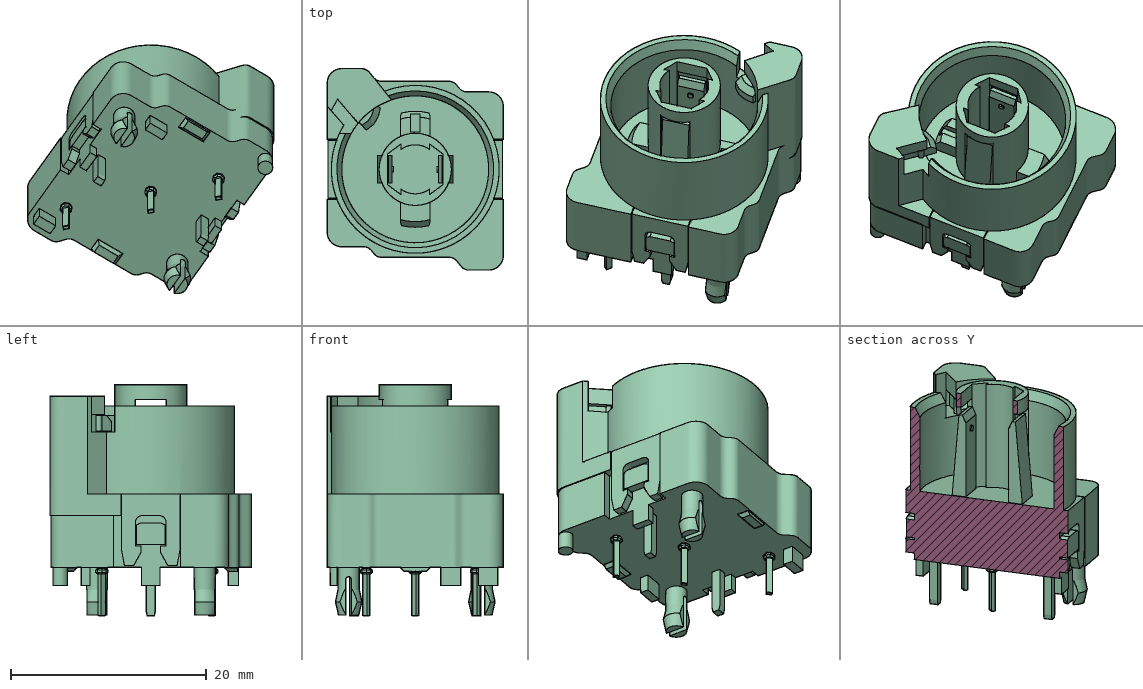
import cadquery as cq

BODY_TOP = 7.5
BARREL_TOP = 16.5
TOWER_TOP = 17.5
POST_TOP = 18.66
PIN_BOTTOM = -4.96
PEG_BOTTOM = -4.87
STANDOFF_BOTTOM = -1.85
CORNER_STEP_Z = 5.29

HALF_X = 9.0
FLANK_Y = 9.0
LONG_EAR_Y = 10.3
SHORT_EAR_Y = 7.92
EAR_RADIUS = 1.5
BLEND_RADIUS = 1.0
EAR_SLOPE = 1.25
LONG_RAMP_X = 3.95
SHORT_RAMP_X = 3.92
CORNER_SETBACK = 0.1

BARREL_OUTER_R = 8.57
BORE_R = 15.0 / 2
BORE_CHAMFER_WIDTH = 0.5
BORE_CHAMFER_HEIGHT = 1.0
POST_R = 7.37 / 2
POST_BORE_R = 2.5
POST_CAVITY_HALF_X = 2.83
POST_CAVITY_FLAT_HALF_Y = 1.57
POST_TOOTH_HALF_X = 1.47
POST_TOOTH_ROOT_Y = 2.58
WINDOW_HALF_Y = 1.57
WINDOW_TOP = 17.13

POCKET_FLOOR = 13.85
POCKET_ROOF = 15.61
POCKET_SIDE_Y = 3.66
POCKET_LIP = (-8.56, 6.04)
POCKET_CORNER = (-7.93, 7.16)
POCKET_INNER = (-5.83, 4.68)
LATCH_GAP = 0.1
LATCH_TIP = (-5.0, 4.0)

FLOOR_BLOCK_TOP = 9.5
FLOOR_BLOCK_OUTER_R = 5.92
FLOOR_BLOCK_HALF_X = 1.49

SNAP_PEG_PLACES = [(-6.8, -5.5), (6.8, 5.5)]
SOLDER_PIN_PLACES = [(-5.0, 5.0), (0, 0), (6.25, -6.25)]
ROUND_FOOT_PLACE = (-7.95, 9.25)
ROUND_FOOT_DIAMETER = 1.51

PANEL_HALF_Y = 2.98
PANEL_GAP = 0.08
PANEL_FACE_X = 8.93
RECESS_X = 8.0
CORNER_NOTCH_Y = 3.82

ramp_long_outer_x = LONG_RAMP_X + (LONG_EAR_Y - FLANK_Y) / EAR_SLOPE
ramp_short_outer_x = SHORT_RAMP_X + (FLANK_Y - SHORT_EAR_Y) / EAR_SLOPE


def box(x0, x1, y0, y1, z0, z1):
    """Axis-aligned block between two corners."""
    return cq.Workplane("XY").box(x1 - x0, y1 - y0, z1 - z0, centered=False).translate((x0, y0, z0))


def prism(points, z0, z1):
    """Vertical prism over a plan polygon."""
    return cq.Workplane("XY").workplane(offset=z0).polyline(points).close().extrude(z1 - z0)


def cylinder(x, y, radius, z0, z1):
    """Upright cylinder at plan position (x, y)."""
    return cq.Workplane("XY").workplane(offset=z0).center(x, y).circle(radius).extrude(z1 - z0)


def round_upright(solid, x, y, radius):
    """Fillet the vertical edge that stands at plan position (x, y)."""
    tol = 0.02
    column = cq.selectors.BoxSelector((x - tol, y - tol, PIN_BOTTOM), (x + tol, y + tol, POST_TOP))
    return solid.edges("|Z").edges(column).fillet(radius)


def half_turn(solid):
    """Copy turned by 180 degrees about the barrel axis."""
    return solid.rotate((0, 0, 0), (0, 0, 1), 180)


def body_slab(z0, z1, setback):
    """One layer of the body; setback pulls in the tower corner only."""
    tower_x = -HALF_X + setback
    tower_y = LONG_EAR_Y - setback
    tower_ramp_x = -LONG_RAMP_X - (tower_y - FLANK_Y) / EAR_SLOPE
    ears = [(tower_x, tower_y), (HALF_X, SHORT_EAR_Y), (HALF_X, -LONG_EAR_Y), (-HALF_X, -SHORT_EAR_Y)]
    blends = [
        (tower_ramp_x, tower_y), (-LONG_RAMP_X, FLANK_Y),
        (SHORT_RAMP_X, FLANK_Y), (ramp_short_outer_x, SHORT_EAR_Y),
        (ramp_long_outer_x, -LONG_EAR_Y), (LONG_RAMP_X, -FLANK_Y),
        (-SHORT_RAMP_X, -FLANK_Y), (-ramp_short_outer_x, -SHORT_EAR_Y),
    ]
    outline = [ears[0]] + blends[:4] + ears[1:3] + blends[4:] + [ears[3]]
    if setback:
        outline += [(-HALF_X, CORNER_NOTCH_Y), (tower_x, CORNER_NOTCH_Y)]
    slab = prism(outline, z0, z1)
    for x, y in ears:
        slab = round_upright(slab, x, y, EAR_RADIUS)
    for x, y in blends:
        slab = round_upright(slab, x, y, BLEND_RADIUS)
    return slab


def side_recess():
    """Recess in the -X side that holds the panel."""
    half_y = PANEL_HALF_Y + PANEL_GAP
    return box(-HALF_X, -RECESS_X, -half_y, half_y, 0, BODY_TOP)


def corner_notch():
    """Gap between the panel and the set-back tower corner."""
    return box(-HALF_X, -RECESS_X, PANEL_HALF_Y, CORNER_NOTCH_Y, 0, CORNER_STEP_Z)


def side_panel():
    """Panel in the -X side with its skirts, arched window and latch block."""
    skirt_bottom = 0.19
    sill_z = 2.18
    throat_half_y = 1.02
    arch_radius = 0.7
    half = [
        (PANEL_HALF_Y, BODY_TOP), (PANEL_HALF_Y, 1.76), (2.69, skirt_bottom), (1.74, skirt_bottom),
        (throat_half_y, 1.5), (throat_half_y, sill_z),
    ]
    outline = half + [(-y, z) for y, z in reversed(half)]
    depth = PANEL_FACE_X - RECESS_X
    plane = cq.Workplane("YZ", origin=(-PANEL_FACE_X, 0, 0))
    panel = plane.polyline(outline).close().extrude(depth)
    window = box(-PANEL_FACE_X, -RECESS_X, -WINDOW_HALF_Y, WINDOW_HALF_Y, sill_z, CORNER_STEP_Z)
    window = window.edges("|X and >Z").fillet(arch_radius)

    block_half_y = 1.47
    block_bottom = 2.33
    block_top = 4.52
    block_setback = 0.05
    block_face_x = PANEL_FACE_X - block_setback
    block = box(-block_face_x, -RECESS_X, -block_half_y, block_half_y, block_bottom, block_top)
    block = block.edges("|X and >Z").chamfer(0.2, 0.4)
    return panel.cut(window).union(block)


def barrel():
    """Round wall with a chamfered mouth."""
    mouth_r = BORE_R + BORE_CHAMFER_WIDTH
    profile = [
        (BORE_R, BODY_TOP), (BARREL_OUTER_R, BODY_TOP), (BARREL_OUTER_R, BARREL_TOP),
        (mouth_r, BARREL_TOP), (BORE_R, BARREL_TOP - BORE_CHAMFER_HEIGHT),
    ]
    return cq.Workplane("XZ").polyline(profile).close().revolve(360, (0, 0, 0), (0, 1, 0))


def tower():
    """Tall corner block that joins the outside of the barrel."""
    outer_y = LONG_EAR_Y
    ramp_end_x = -1.9
    ramp_end = (ramp_end_x, outer_y - EAR_SLOPE * (ramp_long_outer_x + ramp_end_x))
    outline = [
        (-HALF_X, outer_y), (-ramp_long_outer_x, outer_y), ramp_end,
        (-6.0, 4.0), (-7.3, 4.51), (-HALF_X, 6.46),
    ]
    block = prism(outline, BODY_TOP, TOWER_TOP)
    block = round_upright(block, -HALF_X, outer_y, EAR_RADIUS)
    block = round_upright(block, -ramp_long_outer_x, outer_y, BLEND_RADIUS)
    return block.cut(cylinder(0, 0, BORE_R, BODY_TOP, TOWER_TOP))


def tower_pocket():
    """Open pocket through tower and barrel wall, undercut below its roof."""
    inside = (-4.9, POCKET_SIDE_Y)
    open_x = -HALF_X
    outline = [
        POCKET_LIP, POCKET_CORNER, POCKET_INNER, inside,
        (open_x, POCKET_SIDE_Y), (open_x, POCKET_LIP[1]),
    ]
    undercut_x = 0.3
    undercut_y = undercut_x / EAR_SLOPE
    undercut = [
        POCKET_CORNER, POCKET_INNER,
        (POCKET_INNER[0] + undercut_x, POCKET_INNER[1] + undercut_y),
        (POCKET_CORNER[0] + undercut_x, POCKET_CORNER[1] + undercut_y),
    ]
    upper = prism(outline, POCKET_FLOOR, TOWER_TOP)
    return upper.union(prism(undercut, POCKET_FLOOR, POCKET_ROOF))


def latch_nose():
    """Latch that reaches from the tower through the bore wall, bevelled on top."""
    bevel = 0.65
    bottom = POCKET_FLOOR + LATCH_GAP
    height = POCKET_ROOF - LATCH_GAP - bottom
    front_corner = (-4.28, 4.56)
    nose = (
        cq.Workplane("XY").workplane(offset=bottom)
        .moveTo(-6.0, 5.1).lineTo(*LATCH_TIP).lineTo(*front_corner)
        .threePointArc((-3.82, 5.35), (-3.57, 6.25))
        .lineTo(-4.4, 7.0).close().extrude(height)
    )
    front_edges = cq.selectors.BoxSelector((-5.0, LATCH_TIP[1], bottom + 1), (-3.5, 6.0, POCKET_ROOF))
    nose = nose.edges(front_edges).chamfer(bevel)
    heel = cylinder(-5.95, 5.3, 0.3, bottom, bottom + height)
    return nose.union(heel)


def centre_post():
    """Hollow post with a toothed cavity and two opposite contact windows."""
    post = cylinder(0, 0, POST_R, BODY_TOP, POST_TOP)
    cavity = cylinder(0, 0, POST_BORE_R, BODY_TOP, POST_TOP)
    upper_wing = [
        (POST_TOOTH_HALF_X, 0), (POST_TOOTH_HALF_X, POST_TOOTH_ROOT_Y),
        (POST_CAVITY_HALF_X, POST_CAVITY_FLAT_HALF_Y),
    ]
    lower_wing = [(x, -y) for x, y in reversed(upper_wing[1:])]
    wing = prism(upper_wing + lower_wing, BODY_TOP, POST_TOP)
    cavity = cavity.union(wing).union(half_turn(wing))
    window = box(-POST_R, POST_R, -WINDOW_HALF_Y, WINDOW_HALF_Y, BODY_TOP, WINDOW_TOP)
    return post.cut(cavity).cut(window)


def spring_contact():
    """Contact in the -X window of the post, with a round bump on its inner face."""
    half_width = 1.4
    top_z = 16.3
    inner_x = -2.35
    lead_in_height = 0.8
    profile = [
        (-3.85, BODY_TOP), (-3.1, top_z), (-2.73, top_z),
        (inner_x, top_z - lead_in_height), (inner_x, BODY_TOP),
    ]
    blade = cq.Workplane("XZ", origin=(0, half_width, 0)).polyline(profile).close()
    blade = blade.extrude(2 * half_width)
    bump_r = 0.3
    bump_height = 0.15
    bump_z = 14.5
    bump = cq.Workplane("YZ", origin=(inner_x, 0, bump_z)).circle(bump_r).extrude(bump_height)
    return blade.union(bump)


def floor_block():
    """Raised block on the bore floor, on the +Y side of the post."""
    bevel_width = 0.57
    bevel_height = 1.0
    root_overlap = 0.3
    corner_r = 0.5
    inner_r = POST_R - root_overlap
    profile = [
        (inner_r, BODY_TOP), (FLOOR_BLOCK_OUTER_R, BODY_TOP),
        (FLOOR_BLOCK_OUTER_R, FLOOR_BLOCK_TOP - bevel_height),
        (FLOOR_BLOCK_OUTER_R - bevel_width, FLOOR_BLOCK_TOP), (inner_r, FLOOR_BLOCK_TOP),
    ]
    ring = cq.Workplane("XZ").polyline(profile).close().revolve(360, (0, 0, 0), (0, 1, 0))
    half_x = FLOOR_BLOCK_HALF_X
    block = box(-half_x, half_x, inner_r, FLOOR_BLOCK_OUTER_R, BODY_TOP, FLOOR_BLOCK_TOP)
    return ring.intersect(block.edges("|Z and >Y").fillet(corner_r))


def floor_block_slot():
    """Slot in the top of the +Y floor block."""
    half_x = 0.47
    depth = 0.8
    return box(-half_x, half_x, 3.83, 5.67, FLOOR_BLOCK_TOP - depth, FLOOR_BLOCK_TOP)


def snap_peg(x, y):
    """Split locating peg with a swollen, flat-sided tip."""
    shaft_r = 2.2 / 2
    swell_top = -2.27
    profile = [
        (0, 0), (shaft_r, 0), (shaft_r, swell_top), (1.36, -3.52), (1.05, PEG_BOTTOM), (0, PEG_BOTTOM),
    ]
    peg = cq.Workplane("XZ").polyline(profile).close().revolve(360, (0, 0, 0), (0, 1, 0))
    flat_y = 1.03
    reach = 2.0
    side_flat = box(-reach, reach, flat_y, reach, PEG_BOTTOM, swell_top)
    peg = peg.cut(side_flat).cut(half_turn(side_flat))
    slot_r = 0.28
    slot_arc_z = -1.25
    peg = peg.cut(box(-slot_r, slot_r, -reach, reach, PEG_BOTTOM, slot_arc_z))
    slot_end = cq.Workplane("XZ", origin=(0, reach, slot_arc_z)).circle(slot_r).extrude(2 * reach)
    return peg.cut(slot_end).translate((x, y, 0))


def solder_pin(x, y):
    """Flat signal pin set at 45 degrees, with a bevelled eight-sided collar."""
    width = 0.62
    thickness = 0.42
    tip_bevel = 0.06
    pin = box(-width / 2, width / 2, -thickness / 2, thickness / 2, PIN_BOTTOM, 0)
    pin = pin.faces("<Z").chamfer(tip_bevel).rotate((0, 0, 0), (0, 0, 1), -45)
    collar_diameter = 1.25
    collar_bevel = 0.17
    collar_top = -0.12
    collar_bottom = -0.68
    collar = cq.Workplane("XY").workplane(offset=collar_bottom).polygon(8, collar_diameter)
    collar = collar.extrude(collar_top - collar_bottom).faces("<Z or >Z").chamfer(collar_bevel)
    return pin.union(collar).translate((x, y, 0))


def ground_pin():
    """Wide plate and tapered solder leg on the -X side."""
    plate_half_y = 0.97
    plate_thickness = 0.8
    plate_back_x = -RECESS_X + plate_thickness
    plate = box(-RECESS_X, plate_back_x, -plate_half_y, plate_half_y, STANDOFF_BOTTOM, 0)
    leg_face_x = -6.7
    leg_thickness = 0.88
    half_y = 0.48
    tip_half_y = 0.36
    taper_z = -4.45
    outline = [
        (-half_y, 0), (half_y, 0), (half_y, taper_z), (tip_half_y, PIN_BOTTOM),
        (-tip_half_y, PIN_BOTTOM), (-half_y, taper_z),
    ]
    leg = cq.Workplane("YZ", origin=(leg_face_x, 0, 0)).polyline(outline).close().extrude(leg_thickness)
    return plate.union(leg)


def foot_pad():
    """Low pad under the +Y edge of the body, bevelled on three sides."""
    thickness = 0.4
    half_x = 1.5
    bevel = 0.35
    pad = box(-half_x, half_x, 7.55, 8.85, -thickness, 0)
    return pad.edges("<Z and (not >Y)").chamfer(bevel)


def standing_feet():
    """Round foot below the tower corner and two square-cornered feet."""
    round_foot = cylinder(*ROUND_FOOT_PLACE, ROUND_FOOT_DIAMETER / 2, STANDOFF_BOTTOM, 0)
    front_foot = box(6.44, 8.44, -8.96, -7.9, STANDOFF_BOTTOM, 0)
    back_foot = box(2.6, 4.67, 6.2, 7.1, STANDOFF_BOTTOM, 0)
    return [round_foot, front_foot, back_foot]


body = body_slab(0, CORNER_STEP_Z, CORNER_SETBACK).union(body_slab(CORNER_STEP_Z, BODY_TOP, 0))
body = body.cut(side_recess()).cut(half_turn(side_recess())).cut(corner_notch())
result = body.union(barrel()).union(tower()).cut(tower_pocket()).union(latch_nose())

floor_blocks = floor_block().union(half_turn(floor_block())).cut(floor_block_slot())
result = result.union(centre_post()).union(floor_blocks)
for side_part in [side_panel(), ground_pin(), spring_contact()]:
    result = result.union(side_part).union(half_turn(side_part))

for place in SNAP_PEG_PLACES:
    result = result.union(snap_peg(*place))
for place in SOLDER_PIN_PLACES:
    result = result.union(solder_pin(*place))
for foot in standing_feet():
    result = result.union(foot)
result = result.union(foot_pad()).union(half_turn(foot_pad()))